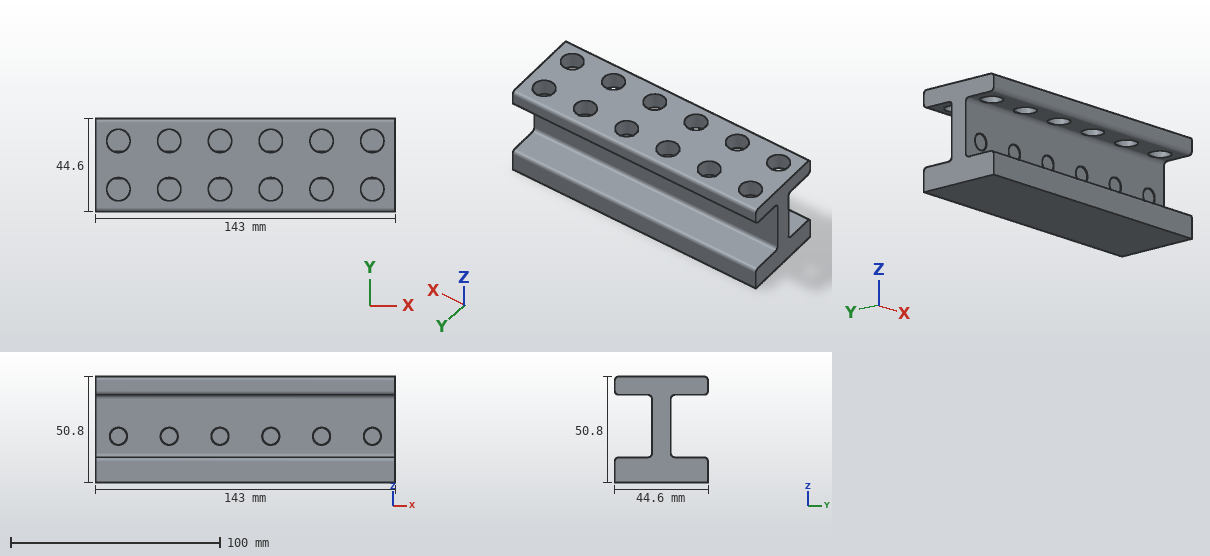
import cadquery as cq

LENGTH = 143.0
FLANGE_WIDTH = 44.6
HEIGHT = 50.8
TOP_FLANGE = 8.9
FOOT = 12.2
WEB = 9.0
ROUND = 2.0

STATIONS = 6
END_MARGIN = 10.9
STATION_PITCH = (LENGTH - 2 * END_MARGIN) / (STATIONS - 1)
TUBE_HOLE_DIAMETER = 11.2
TUBE_ROW_SPACING = 23.0

MAGNET_DIAMETER = 8.0
MAGNET_HOLE_DIAMETER = 8.5
MAGNET_HEIGHT = 22.2
MAGNET_RECESS = 0.3
MAGNET_HOLE_DEPTH = 7.2

STATION_XS = [END_MARGIN - LENGTH / 2 + i * STATION_PITCH for i in range(STATIONS)]


def magnet_cylinders(diameter, front, back):
    """One cylinder per station along Y, between two depths behind the -Y face of the web."""
    return (
        cq.Workplane("XZ", origin=(0, back - WEB / 2, MAGNET_HEIGHT))
        .pushPoints([(x, 0) for x in STATION_XS])
        .circle(diameter / 2)
        .extrude(back - front)
    )


def i_beam():
    """I-section with every edge along X rounded, except the bottom edges of the foot."""
    half_width = FLANGE_WIDTH / 2
    half_web = WEB / 2
    flange_bottom = HEIGHT - TOP_FLANGE
    half_outline = [
        (half_width, 0),
        (half_width, FOOT),
        (half_web, FOOT),
        (half_web, flange_bottom),
        (half_width, flange_bottom),
        (half_width, HEIGHT),
    ]
    above_foot_bottom = cq.selectors.BoxSelector(
        (-LENGTH, -FLANGE_WIDTH, FOOT / 2),
        (LENGTH, FLANGE_WIDTH, 2 * HEIGHT),
    )
    mirrored = [(-y, z) for y, z in reversed(half_outline)]
    return (
        cq.Workplane("YZ")
        .polyline(half_outline + mirrored)
        .close()
        .extrude(LENGTH / 2, both=True)
        .edges("|X")
        .edges(above_foot_bottom)
        .fillet(ROUND)
    )


def make_rack():
    """I-beam with tube holes in the top flange and blind magnet holes in the web."""
    tube_holes = (
        cq.Workplane("XY", origin=(0, 0, HEIGHT - TOP_FLANGE))
        .pushPoints([(x, side * TUBE_ROW_SPACING / 2) for x in STATION_XS for side in (-1, 1)])
        .circle(TUBE_HOLE_DIAMETER / 2)
        .extrude(TOP_FLANGE)
    )
    return i_beam().cut(tube_holes).cut(magnet_cylinders(MAGNET_HOLE_DIAMETER, 0, MAGNET_HOLE_DEPTH))


rack = make_rack()
magnets = magnet_cylinders(MAGNET_DIAMETER, MAGNET_RECESS, MAGNET_HOLE_DEPTH)

result = cq.Compound.makeCompound([rack.val(), *magnets.vals()])